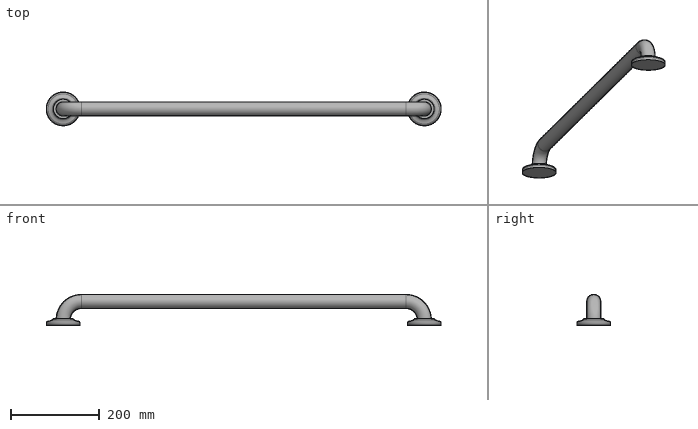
import cadquery as cq
import math

overall_length = 889.0
overall_height = 69.85

tube_diameter = 31.75
bend_radius = 41.275

flange_diameter = 76.2
flange_height = 15.2
rim_height = 5.0
shoulder_radius = 4.5
flank_start_slope = math.radians(5.0)
flank_top_radius = 24.0
flank_top_height = 13.0
top_flat_radius = 22.0

flange_offset = (overall_length - flange_diameter) / 2
tube_axis_height = overall_height - tube_diameter / 2
bend_start_height = tube_axis_height - bend_radius
straight_half_length = flange_offset - bend_radius


def make_tube():
    """Round bar following a straight run that turns down into both flanges."""
    bend_mid_offset = bend_radius * 0.5**0.5
    bend_mid_x = straight_half_length + bend_mid_offset
    bend_mid_height = bend_start_height + bend_mid_offset
    path = (
        cq.Workplane("XZ")
        .moveTo(-flange_offset, 0)
        .lineTo(-flange_offset, bend_start_height)
        .threePointArc((-bend_mid_x, bend_mid_height), (-straight_half_length, tube_axis_height))
        .lineTo(straight_half_length, tube_axis_height)
        .threePointArc((bend_mid_x, bend_mid_height), (flange_offset, bend_start_height))
        .lineTo(flange_offset, 0)
    )
    section = cq.Workplane("XY").center(-flange_offset, 0).circle(tube_diameter / 2)
    return section.sweep(path)


def make_flange(center_x):
    """Turned wall flange standing on the mounting plane at center_x."""
    rim_radius = flange_diameter / 2

    def shoulder_point(angle):
        """Point on the shoulder arc, with angle measured up from the rim."""
        radius = rim_radius - shoulder_radius + shoulder_radius * math.cos(angle)
        return (radius, rim_height + shoulder_radius * math.sin(angle))

    shoulder_sweep = math.pi / 2 - flank_start_slope
    profile = (
        cq.Workplane("XZ")
        .moveTo(0, 0)
        .lineTo(rim_radius, 0)
        .lineTo(rim_radius, rim_height)
        .threePointArc(shoulder_point(shoulder_sweep / 2), shoulder_point(shoulder_sweep))
        .tangentArcPoint((flank_top_radius, flank_top_height), relative=False)
        .lineTo(top_flat_radius, flange_height)
        .lineTo(0, flange_height)
        .close()
    )
    return profile.revolve(360, (0, 0, 0), (0, 1, 0)).translate((center_x, 0, 0))


result = make_tube()
for side in (-1, 1):
    result = result.union(make_flange(side * flange_offset))